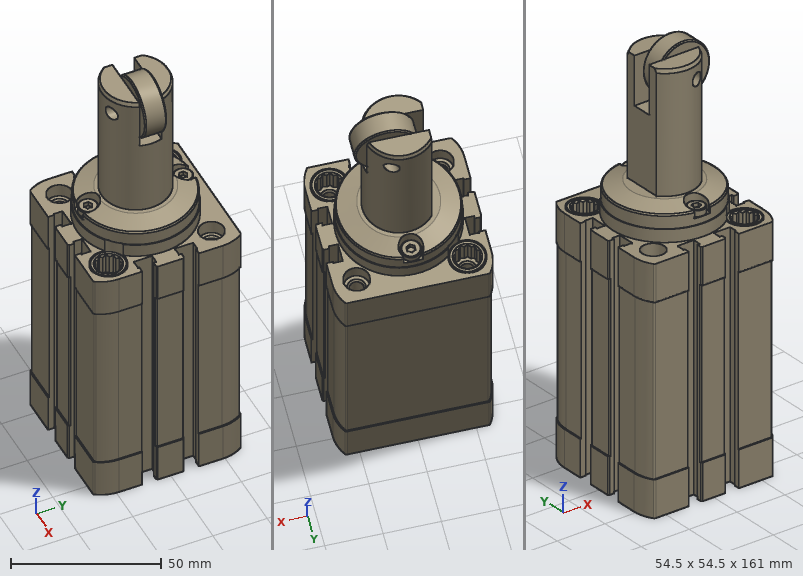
import cadquery as cq
import math


housing_width = 54.5
housing_height = 96.5
cap_length = 14.7
barrel_inset = 0.5
corner_arc_radius = 14.0
corner_arc_start = 19.2
corner_fillet = 0.8
collar_diameter = 43.1
collar_height = 5.0

slot_floor = 21.7
slot_lip = 25.0
slot_neck_inner, slot_neck_outer = 5.2, 10.5
slot_wide_inner, slot_wide_outer = 4.2, 11.0
slot_mouth_chamfer = 0.5

hole_offset = 19.0
hole_diameter = 5.0
hole_mouth_diameter = 6.3
counterbore_diameter = 9.0
counterbore_depth = 5.0
collar_screw_diameter = 12.9
collar_screw_chamfer = 0.5
socket_depth = 8.0
socket_points = 12
socket_minor_diameter = 8.5
socket_major_diameter = 9.7
socket_mouth_diameter = 10.0

cover_diameter = 42.5
cover_height = 7.5
cover_flat_diameter = 28.0
cover_cone_drop = 2.3
cover_edge_chamfer = 0.5

screw_offset = 17.5
screw_recess_diameter = 8.4
screw_recess_height = 2.5
screw_notch_width = 6.6
screw_head_diameter = 7.0
screw_head_chamfer = 0.3
screw_head_height = 2.5
screw_socket_diameter = 3.2
screw_socket_sides = 6
screw_socket_depth = 1.6

rod_diameter = 25.0
rod_top = 157.0
rod_flat = 9.5
rod_chamfer_height = 1.5
rod_chamfer_width = 0.6
fork_slot_width = 8.0
fork_slot_floor = 138.0
axle_hole_diameter = 5.0
roller_diameter = 22.0
roller_offset = 5.0
roller_chamfer = 0.5
overall_height = 161.0

half_width = housing_width / 2
collar_top = housing_height + collar_height
cover_top = collar_top + cover_height
roller_center_z = overall_height - roller_diameter / 2


def cylinder(diameter, bottom, height, x=0, y=0):
    return cq.Workplane("XY").center(x, y).circle(diameter / 2).extrude(height).translate((0, 0, bottom))


def cone(bottom_diameter, top_diameter, bottom, height, x=0, y=0):
    solid = cq.Solid.makeCone(bottom_diameter / 2, top_diameter / 2, height, cq.Vector(x, y, bottom))
    return cq.Workplane(solid)



def corner_arc_points(half):
    """Middle and end of the bulged corner in the +X +Y quadrant; it leaves the side tangentially."""
    center_x = half - corner_arc_radius
    start_y = corner_arc_start
    end_angle = math.asin((half - start_y) / corner_arc_radius)
    return [
        (center_x + corner_arc_radius * math.cos(angle), start_y + corner_arc_radius * math.sin(angle))
        for angle in (end_angle / 2, end_angle)
    ]


def profile_block(half, bottom, height):
    """Square column with bulged corners between its X sides and its Y sides."""
    (mid_x, mid_y), (end_x, end_y) = corner_arc_points(half)
    start_y = corner_arc_start
    return (
        cq.Workplane("XY", origin=(0, 0, bottom))
        .moveTo(half, -start_y)
        .lineTo(half, start_y)
        .threePointArc((mid_x, mid_y), (end_x, end_y))
        .lineTo(-end_x, end_y)
        .threePointArc((-mid_x, mid_y), (-half, start_y))
        .lineTo(-half, -start_y)
        .threePointArc((-mid_x, -mid_y), (-end_x, -end_y))
        .lineTo(end_x, -end_y)
        .threePointArc((mid_x, -mid_y), (half, -start_y))
        .close()
        .extrude(height)
        .edges("|Z and (>Y or <Y)")
        .fillet(corner_fillet)
    )


def slot_pair(half, bottom, height):
    """Two mirrored T-slots in the +X side; the rib between them has chamfered outer corners."""
    slot = (
        cq.Workplane("XY", origin=(0, 0, bottom))
        .polyline([
            (half, slot_neck_inner - slot_mouth_chamfer),
            (half - slot_mouth_chamfer, slot_neck_inner),
            (slot_lip, slot_neck_inner),
            (slot_lip, slot_wide_inner),
            (slot_floor, slot_wide_inner),
            (slot_floor, slot_wide_outer),
            (slot_lip, slot_wide_outer),
            (slot_lip, slot_neck_outer),
            (half, slot_neck_outer),
        ])
        .close()
        .extrude(height)
    )
    return slot.union(slot.mirror("XZ"))


def slotted_block(half, bottom, height):
    """Profile column with a pair of slots in every side except +Y."""
    block = profile_block(half, bottom, height)
    for angle in (0, 180, 270):
        block = block.cut(slot_pair(half, bottom, height).rotate((0, 0, 0), (0, 0, 1), angle))
    return block


def through_hole(x, y, floor):
    """Through hole with a countersunk mouth at the given floor level."""
    mouth_depth = (hole_mouth_diameter - hole_diameter) / 2
    mouth = cone(hole_diameter, hole_mouth_diameter, floor - mouth_depth, mouth_depth, x, y)
    return cylinder(hole_diameter, 0, floor, x, y).union(mouth)


def counterbored_hole(x, y):
    floor = housing_height - counterbore_depth
    return through_hole(x, y, floor).union(
        cylinder(counterbore_diameter, floor, counterbore_depth, x, y)
    )


def collar_screw_cut(x, y):
    """Space around and inside a hollow screw head: edge groove, twelve-point socket, through hole."""
    above = cylinder(collar_screw_diameter, housing_height, collar_height, x, y)
    groove_bottom = housing_height - collar_screw_chamfer
    head_top_diameter = collar_screw_diameter - 2 * collar_screw_chamfer
    groove = cylinder(collar_screw_diameter, groove_bottom, collar_screw_chamfer, x, y).cut(
        cone(collar_screw_diameter, head_top_diameter, groove_bottom, collar_screw_chamfer, x, y)
    )
    floor = housing_height - socket_depth
    star = []
    for i in range(2 * socket_points):
        radius = (socket_minor_diameter if i % 2 == 0 else socket_major_diameter) / 2
        angle = math.pi * i / socket_points
        star.append((x + radius * math.cos(angle), y + radius * math.sin(angle)))
    socket = cq.Workplane("XY", origin=(0, 0, floor)).polyline(star).close().extrude(socket_depth)
    mouth_depth = (socket_mouth_diameter - socket_minor_diameter) / 2
    mouth = cone(
        socket_minor_diameter, socket_mouth_diameter, housing_height - mouth_depth, mouth_depth, x, y
    )
    return above.union(groove).union(socket).union(mouth).union(through_hole(x, y, floor))


def make_housing():
    body = slotted_block(half_width - barrel_inset, 0, housing_height)
    for bottom in (0, housing_height - cap_length):
        body = body.union(slotted_block(half_width, bottom, cap_length))
    body = body.union(cylinder(collar_diameter, housing_height, collar_height))
    for side in (-1, 1):
        body = body.cut(counterbored_hole(side * hole_offset, side * hole_offset))
        body = body.cut(collar_screw_cut(side * hole_offset, -side * hole_offset))
    return body



def rod_column(bottom, top):
    """Round bar with one flat on its -X side."""
    height = top - bottom
    outside_flat = cq.Workplane("XY").box(
        rod_diameter, 2 * rod_diameter, height, centered=(False, True, False)
    ).translate((-rod_flat - rod_diameter, 0, bottom))
    return cylinder(rod_diameter, bottom, height).cut(outside_flat)


def make_rod():
    chamfer_bottom = rod_top - rod_chamfer_height
    tip = cone(rod_diameter, rod_diameter - 2 * rod_chamfer_width, chamfer_bottom, rod_chamfer_height)
    envelope = cylinder(rod_diameter, collar_top, chamfer_bottom - collar_top).union(tip)
    rod = rod_column(collar_top, rod_top).intersect(envelope)
    fork_slot = cq.Workplane("XY").box(
        2 * rod_diameter, fork_slot_width, rod_top - fork_slot_floor, centered=(True, True, False)
    ).translate((0, 0, fork_slot_floor))
    axle_hole = (
        cq.Workplane("XZ", origin=(roller_offset, 0, roller_center_z))
        .circle(axle_hole_diameter / 2)
        .extrude(rod_diameter, both=True)
    )
    return rod.cut(fork_slot).cut(axle_hole)



def make_roller():
    return (
        cq.Workplane("XZ", origin=(roller_offset, fork_slot_width / 2, roller_center_z))
        .circle(roller_diameter / 2)
        .extrude(fork_slot_width)
        .edges()
        .chamfer(roller_chamfer)
    )



def make_cover():
    rim_height = cover_height - cover_cone_drop
    disc = cylinder(cover_diameter, collar_top, rim_height).union(
        cone(cover_diameter, cover_flat_diameter, collar_top + rim_height, cover_cone_drop)
    )
    cover = disc.edges(cq.selectors.RadiusNthSelector(-1)).edges(">Z").chamfer(cover_edge_chamfer)
    for side in (-1, 1):
        recess = cylinder(
            screw_recess_diameter, collar_top + screw_recess_height, cover_height, 0, side * screw_offset
        )
        notch = cq.Workplane("XY").box(
            screw_notch_width, screw_recess_diameter, cover_height, centered=(True, True, False)
        ).translate((0, side * (screw_offset + screw_recess_diameter / 2), collar_top + screw_recess_height))
        cover = cover.cut(recess).cut(notch)
    return cover.cut(rod_column(collar_top, cover_top))



def make_cover_screw(y):
    bottom = collar_top + screw_recess_height
    socket_bottom = bottom + screw_head_height - screw_socket_depth
    socket = (
        cq.Workplane("XY", origin=(0, y, socket_bottom))
        .transformed(rotate=(0, 0, 90))
        .polygon(screw_socket_sides, screw_socket_diameter)
        .extrude(screw_socket_depth)
    )
    head = cylinder(screw_head_diameter, bottom, screw_head_height, 0, y)
    return head.faces(">Z").chamfer(screw_head_chamfer).cut(socket)


housing = make_housing()
cover = make_cover()
rod = make_rod()
roller = make_roller()
cover_screws = [make_cover_screw(side * screw_offset) for side in (-1, 1)]

bodies = [housing, cover, rod, roller, *cover_screws]
result = cq.Compound.makeCompound([body.solids().val() for body in bodies])